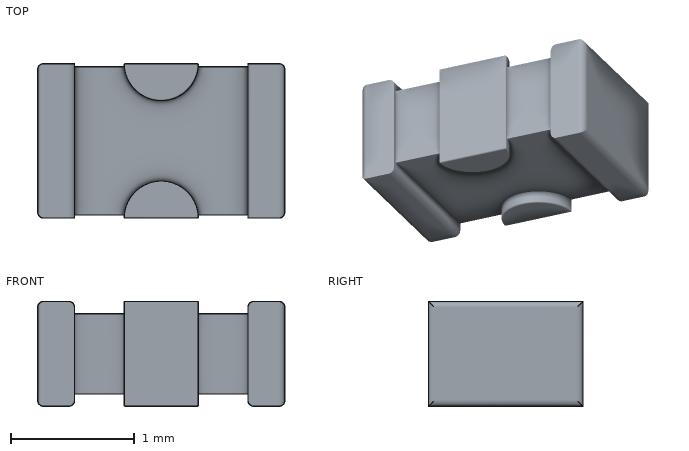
import cadquery as cq

length = 2.0
width = 1.25
height = 0.85

body_width = 1.2
body_top_step = 0.1
body_height = height - 2 * body_top_step

cap_length = 0.3
cap_fillet = 0.05

terminal_radius = 0.3
terminal_fillet = 0.01


def end_cap(side):
    """Cap at the -X (side = -1) or +X (side = 1) end of the body."""
    outer_face, inner_face = ("<X", ">X") if side < 0 else (">X", "<X")
    center_x = side * (length - cap_length) / 2
    cap = cq.Workplane("XY").box(cap_length, width, height).translate((center_x, 0, 0))
    cap = cap.faces(inner_face).edges("|Y").fillet(cap_fillet)
    return cap.faces(outer_face).edges().fillet(cap_fillet)


def side_terminal(side):
    """Half cylinder with its flat face on the -Y (side = -1) or +Y (side = 1) side."""
    flat_y = side * width / 2
    return (
        cq.Workplane("XY", origin=(0, flat_y, -height / 2))
        .moveTo(-terminal_radius, 0)
        .threePointArc((0, -side * terminal_radius), (terminal_radius, 0))
        .close()
        .extrude(height)
        .edges()
        .fillet(terminal_fillet)
    )


body_length = length - cap_length
result = cq.Workplane("XY").box(body_length, body_width, body_height)
for side in (-1, 1):
    result = result.union(end_cap(side)).union(side_terminal(side))